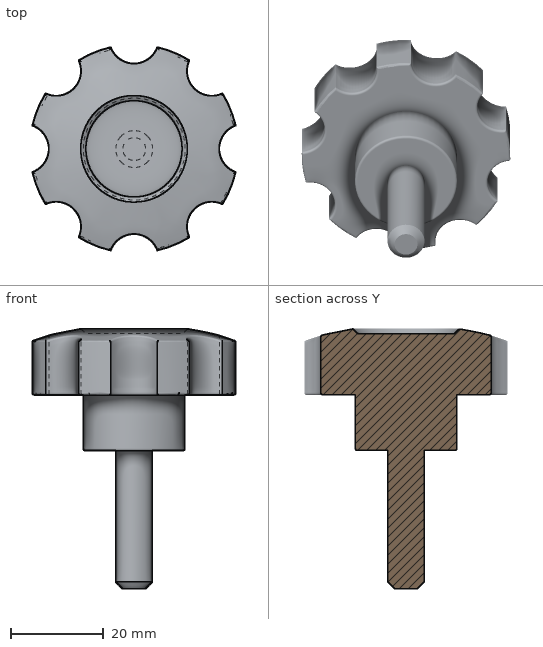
import cadquery as cq
import math

total_height = 56.2
knob_height = 14.3
hub_length = 12.0
knob_bottom = total_height - knob_height
hub_bottom = knob_bottom - hub_length

knob_radius = 22.55
dome_radius = 73.6
crown_edge_round = 0.4
lower_edge_round = 0.5

recess_top_radius = 11.5
recess_floor_radius = 10.4
recess_depth = 1.0

scallop_count = 8
scallop_radius = 5.35
scallop_floor_distance = 18.4
scallop_center_distance = scallop_floor_distance + scallop_radius

hub_radius = 22.0 / 2
stud_radius = 8.0 / 2
stud_chamfer = 1.5


def dome_height(radius):
    """Height of the spherical crown, which meets the recess rim at full height."""
    rim_rise = math.sqrt(dome_radius**2 - recess_top_radius**2)
    return total_height - rim_rise + math.sqrt(dome_radius**2 - radius**2)


def make_head():
    """Domed disc with scallops, rounded along its upper and lower outlines."""
    dome_middle_radius = knob_radius / 2
    disc = (
        cq.Workplane("XZ")
        .moveTo(0, knob_bottom)
        .lineTo(knob_radius, knob_bottom)
        .lineTo(knob_radius, dome_height(knob_radius))
        .threePointArc((dome_middle_radius, dome_height(dome_middle_radius)), (0, dome_height(0)))
        .close()
        .revolve(360, (0, 0, 0), (0, 1, 0))
    )
    scallops = (
        cq.Workplane("XY", origin=(0, 0, knob_bottom))
        .polarArray(scallop_center_distance, 0, 360, scallop_count)
        .circle(scallop_radius)
        .extrude(2 * knob_height)
    )
    head = disc.cut(scallops)
    head = head.faces("<Z").edges().fillet(lower_edge_round)
    return head.faces(">Z").edges().fillet(crown_edge_round)


def make_recess():
    """Tapered cutter that also levels the crown above the recess rim."""
    recess_floor = total_height - recess_depth
    crown_top = dome_height(0)
    return (
        cq.Workplane("XZ")
        .moveTo(0, recess_floor)
        .lineTo(recess_floor_radius, recess_floor)
        .lineTo(recess_top_radius, total_height)
        .lineTo(recess_top_radius, crown_top)
        .lineTo(0, crown_top)
        .close()
        .revolve(360, (0, 0, 0), (0, 1, 0))
    )


def make_hub():
    return (
        cq.Workplane("XY", origin=(0, 0, hub_bottom))
        .circle(hub_radius)
        .extrude(hub_length)
        .faces("<Z")
        .edges()
        .fillet(lower_edge_round)
    )


def make_stud():
    return (
        cq.Workplane("XY")
        .circle(stud_radius)
        .extrude(hub_bottom)
        .faces("<Z")
        .edges()
        .chamfer(stud_chamfer)
    )


result = make_head().cut(make_recess()).union(make_hub()).union(make_stud())